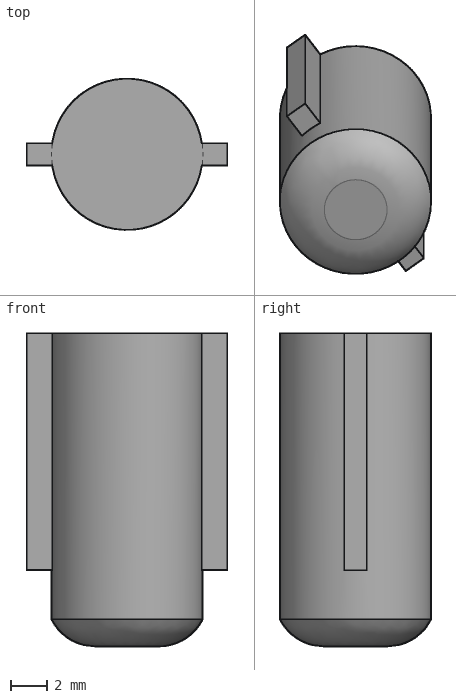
import cadquery as cq

total_length = 17.2
body_diameter = 8.3
span_over_keys = 11.0
key_length = 13.0
key_thickness = 1.24
nose_height = 1.5
nose_flat_diameter = 3.44

body_radius = body_diameter / 2
nose_flat_radius = nose_flat_diameter / 2

body = (
    cq.Workplane("XZ")
    .lineTo(nose_flat_radius, 0)
    .tangentArcPoint((body_radius, nose_height), relative=False)
    .lineTo(body_radius, total_length)
    .lineTo(0, total_length)
    .close()
    .revolve(360, (0, 0, 0), (0, 1, 0))
)

keys = (
    cq.Workplane("XY")
    .workplane(offset=total_length - key_length)
    .rect(span_over_keys, key_thickness)
    .extrude(key_length)
)

result = body.union(keys)